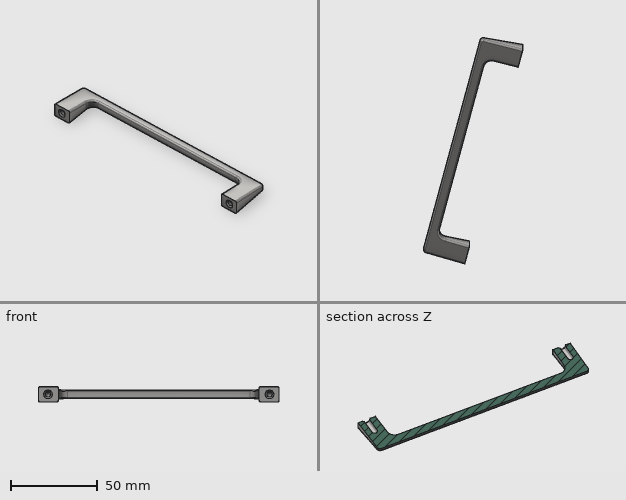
import cadquery as cq
import math

length = 139.0
depth = 25.0
foot_height = 9.0

grip_height = 4.0

foot_width = 11.5
grip_depth = 6.0
leg_draft_angle = 1
outer_radius = 2.0
inner_radius = 5.0
edge_radius = 1.0

bulge_radius = 10.0

hole_spacing = 128.0
hole_diameter = 3.2
countersink_diameter = 5.0
hole_depth = 11.1
drill_point_angle = 118


def drafted_block(foot_length, block_depth):
    """Return a full-height block whose two ends lean inwards away from the feet."""
    half_foot = foot_length / 2
    half_far = half_foot - block_depth * math.tan(math.radians(leg_draft_angle))
    return (
        cq.Workplane("XY")
        .polyline([
            (-half_foot, 0),
            (half_foot, 0),
            (half_far, block_depth),
            (-half_far, block_depth),
        ])
        .close()
        .extrude(foot_height / 2, both=True)
    )


def outer_block():
    """Return the block around the bow, with its two far corners rounded."""
    block = drafted_block(length, depth)
    return block.edges("|Z and >Y").fillet(outer_radius)


def opening():
    """Return the space between the legs, hollowed along the grip to form its bulge."""
    inner_face = depth - grip_depth
    space = drafted_block(length - 2 * foot_width, depth)
    bulge = (
        cq.Workplane("YZ")
        .center(inner_face + bulge_radius, 0)
        .circle(bulge_radius)
        .extrude(length / 2, both=True)
    )
    space = space.cut(bulge)
    inner_corners = space.faces("<X or >X").edges(">Y")
    return inner_corners.fillet(inner_radius)


def taper_wedge():
    """Return the wedge that sets the height of the bow along its depth."""
    return (
        cq.Workplane("YZ")
        .polyline([
            (0, -foot_height / 2),
            (depth, -grip_height / 2),
            (depth, grip_height / 2),
            (0, foot_height / 2),
        ])
        .close()
        .extrude(length / 2, both=True)
    )


def round_sloping_faces(body):
    """Round the border of both sloping faces, except where they meet the feet."""
    face_borders = body.faces("<Z or >Z").edges("not <Y")
    return face_borders.fillet(edge_radius)


def drill_screw_holes(body):
    """Drill a countersunk blind hole with a conical end into the middle of each foot."""
    countersink_depth = (countersink_diameter - hole_diameter) / 2
    point_depth = hole_diameter / 2 / math.tan(math.radians(drill_point_angle / 2))
    drill = (
        cq.Workplane("XY")
        .polyline([
            (0, 0),
            (countersink_diameter / 2, 0),
            (hole_diameter / 2, countersink_depth),
            (hole_diameter / 2, hole_depth),
            (0, hole_depth + point_depth),
        ])
        .close()
        .revolve(360, (0, 0, 0), (0, 1, 0))
    )
    for side in (-1, 1):
        body = body.cut(drill.translate((side * hole_spacing / 2, 0, 0)))
    return body


bow = outer_block().cut(opening()).intersect(taper_wedge())
result = drill_screw_holes(round_sloping_faces(bow))